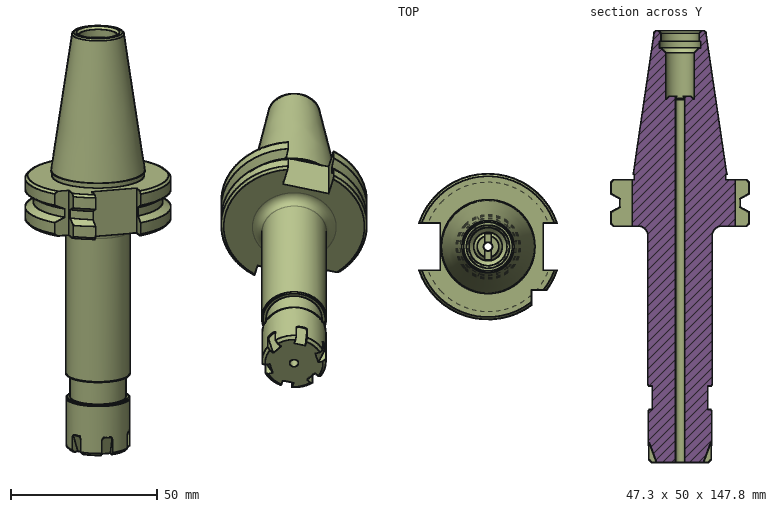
import cadquery as cq
import math


total_length = 147.8

nut_radius = 11.0
nut_height = 18.2
nut_face_chamfer = 1.0
edge_chamfer = 0.5

wrench_slot_count = 6
wrench_slot_width = 3.8
wrench_slot_height = 6.7
wrench_slot_top_depth = 0.5
wrench_slot_corner = 1.0
wrench_slot_tilt = 20.0
wrench_slot_reach = 3.7

relief_radius = 9.6
relief_top = 26.2
neck_radius = 11.1
neck_fillet = 3.3

flange_radius = 25.0
flange_bottom = 80.8
flange_height = 16.0
flange_chamfer = 0.9
flange_top = flange_bottom + flange_height
flange_middle = flange_bottom + flange_height / 2

groove_floor_radius = 22.2
groove_floor_half_width = 1.5
groove_angle = 30.0
groove_depth = flange_radius - groove_floor_radius
groove_mouth_half_width = groove_floor_half_width + groove_depth * math.tan(math.radians(groove_angle))

drive_slot_width = 16.1
left_slot_floor = 16.4
right_slot_floor = 18.9
notch_offset = 15.0

taper_ratio = 7 / 24
collar_radius = 15.8
collar_height = 1.8
taper_large_radius = 16.1
taper_bottom = flange_top + collar_height
taper_small_radius = taper_large_radius - (total_length - taper_bottom) * taper_ratio / 2
shank_end_chamfer = 0.6

bore_mouth_radius = 7.4
counterbore_radius = 6.5
relief_groove_radius = 7.0
relief_groove_top_depth = 3.7
counterbore_depth = 5.9
thread_radius = 4.9
thread_depth = 23.6
bore_mouth_chamfer = bore_mouth_radius - counterbore_radius
thread_cone_height = counterbore_radius - thread_radius

tip_radius = 3.7
tip_height = thread_radius - tip_radius
tip_slot_width = 2.4
tip_slot_length = 8.9
coolant_radius = 1.5


def revolve_outline(outline):
    return outline.close().revolve(360, (0, 0, 0), (0, 1, 0))


def make_body():
    outline = (
        cq.Workplane("XZ")
        .moveTo(0, 0)
        .lineTo(nut_radius - nut_face_chamfer, 0)
        .lineTo(nut_radius, nut_face_chamfer)
        .lineTo(nut_radius, nut_height - edge_chamfer)
        .lineTo(nut_radius - edge_chamfer, nut_height)
        .lineTo(relief_radius, nut_height)
        .lineTo(relief_radius, relief_top)
        .lineTo(neck_radius - edge_chamfer, relief_top)
        .lineTo(neck_radius, relief_top + edge_chamfer)
        .lineTo(neck_radius, flange_bottom - neck_fillet)
        .radiusArc((neck_radius + neck_fillet, flange_bottom), neck_fillet)
        .lineTo(flange_radius - flange_chamfer, flange_bottom)
        .lineTo(flange_radius, flange_bottom + flange_chamfer)
        .lineTo(flange_radius, flange_middle - groove_mouth_half_width)
        .lineTo(groove_floor_radius, flange_middle - groove_floor_half_width)
        .lineTo(groove_floor_radius, flange_middle + groove_floor_half_width)
        .lineTo(flange_radius, flange_middle + groove_mouth_half_width)
        .lineTo(flange_radius, flange_top - flange_chamfer)
        .lineTo(flange_radius - flange_chamfer, flange_top)
        .lineTo(collar_radius, flange_top)
        .lineTo(collar_radius, taper_bottom)
        .lineTo(taper_large_radius, taper_bottom)
        .lineTo(taper_small_radius, total_length - shank_end_chamfer)
        .lineTo(taper_small_radius - shank_end_chamfer, total_length)
        .lineTo(0, total_length)
    )
    return revolve_outline(outline)


def make_bore():
    relief_groove_top = total_length - relief_groove_top_depth
    counterbore_bottom = total_length - counterbore_depth
    thread_bottom = total_length - thread_depth
    outline = (
        cq.Workplane("XZ")
        .moveTo(0, total_length)
        .lineTo(bore_mouth_radius, total_length)
        .lineTo(counterbore_radius, total_length - bore_mouth_chamfer)
        .lineTo(counterbore_radius, relief_groove_top)
        .lineTo(relief_groove_radius, relief_groove_top)
        .lineTo(relief_groove_radius, counterbore_bottom)
        .lineTo(counterbore_radius, counterbore_bottom)
        .lineTo(thread_radius, counterbore_bottom - thread_cone_height)
        .lineTo(thread_radius, thread_bottom)
        .lineTo(tip_radius, thread_bottom + tip_height)
        .lineTo(0, thread_bottom + tip_height)
    )
    tip_slot = (
        cq.Workplane("XY")
        .workplane(offset=thread_bottom)
        .rect(tip_slot_width, tip_slot_length)
        .extrude(tip_height)
    )
    coolant_hole = cq.Workplane("XY").circle(coolant_radius).extrude(total_length)
    return revolve_outline(outline).union(tip_slot).union(coolant_hole)


def flange_cutter(x_start, x_end, y_start, y_end):
    return (
        cq.Workplane("XY")
        .box(x_end - x_start, y_end - y_start, flange_height, centered=False)
        .translate((x_start, y_start, flange_bottom))
    )


def make_flange_cuts():
    half_slot = drive_slot_width / 2
    left_slot = flange_cutter(-flange_radius, -left_slot_floor, -half_slot, half_slot)
    right_slot = flange_cutter(right_slot_floor, flange_radius, -half_slot, half_slot)
    notch = flange_cutter(notch_offset, flange_radius, -flange_radius, -notch_offset)
    return left_slot.union(right_slot).union(notch)


def make_wrench_slots():
    tilt = math.radians(wrench_slot_tilt)
    floor_plane = cq.Plane(
        origin=(nut_radius - wrench_slot_top_depth, 0, wrench_slot_height),
        xDir=(0, 1, 0),
        normal=(math.cos(tilt), 0, -math.sin(tilt)),
    )
    floor_length = 2 * wrench_slot_height
    floor_sketch = (
        cq.Sketch()
        .push([(0, -floor_length / 2)])
        .rect(wrench_slot_width, floor_length)
        .reset()
        .vertices(">Y")
        .fillet(wrench_slot_corner)
    )
    slot = cq.Workplane(floor_plane).placeSketch(floor_sketch).extrude(wrench_slot_reach)
    slots = cq.Workplane("XY")
    for index in range(wrench_slot_count):
        slots = slots.add(slot.rotate((0, 0, 0), (0, 0, 1), index * 360 / wrench_slot_count))
    return slots.combine()


result = make_body().cut(make_bore()).cut(make_flange_cuts()).cut(make_wrench_slots())